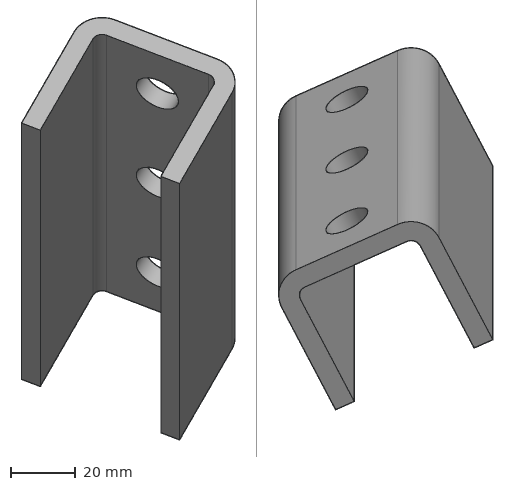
import cadquery as cq

width = 53.9
depth = 47.6
length = 136.5

thickness = 6.4
outer_bend_radius = 9.5
inner_bend_radius = outer_bend_radius - thickness

hole_diameter = 14.3
hole_spacing = 47.6
hole_count = 3


def rounded_block(block_width, block_depth, bend_radius):
    """Full-length block from the open side (Y = 0) with both back edges rounded."""
    return (
        cq.Workplane("XY")
        .box(block_width, block_depth, length, centered=(True, False, True))
        .edges("|Z and >Y")
        .fillet(bend_radius)
    )


def web_holes():
    """Cylinders along Y, evenly spaced in Z about the middle of the web."""
    return (
        cq.Workplane("XZ", origin=(0, depth, 0))
        .rarray(1.4, hole_spacing, 1, hole_count)
        .circle(hole_diameter / 2)
        .extrude(depth)
    )


channel = rounded_block(width, depth, outer_bend_radius)
cavity = rounded_block(width - 2 * thickness, depth - thickness, inner_bend_radius)

result = channel.cut(cavity).cut(web_holes())